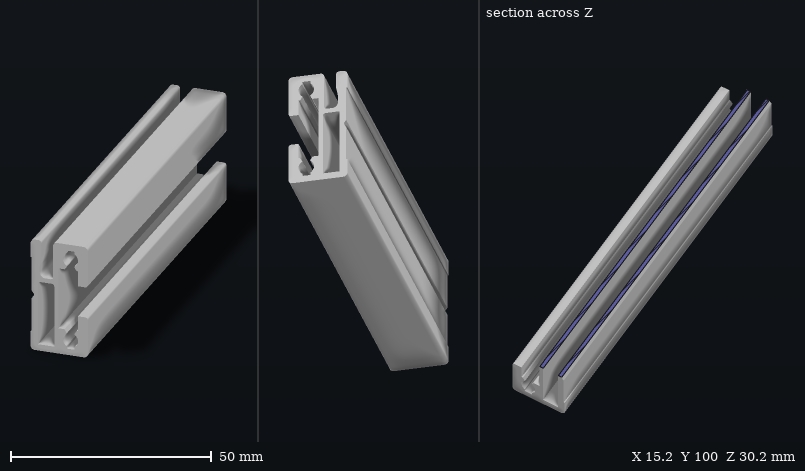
import cadquery as cq

width = 15.2
length = 100.0
height = 30.2
right = width / 2
left = -right
top = height / 2
corner_radius = 1.1

relief_depth = 0.3
relief_half_height = 10.2
groove_depth = 0.6
groove_half_height = 1.0
groove_floor_half_height = 0.2

lip_thickness = 2.9
lip_root_thickness = 2.4
slot_right = -1.6
slot_floor = 4.9
slot_taper_start = 10.5
slot_taper_drop = 2.4
slot_left_radius = 1.5
slot_right_radius = 0.7
slot_lip_radius = 0.8
slot_mouth_radius = 0.9

chamber_left = -5.6
chamber_right = -1.3
chamber_top = 3.7
chamber_bottom = -13.4
chamber_radius = 0.7

channel_left = -0.2
flange_inner = 5.0
channel_half_height = 8.2
mouth_half_height = 4.1
flange_radius = 0.7

port_x = 3.0
port_z = 11.0
port_radius = 2.0
port_end = 13.4
port_end_width = 2.1
neck_half_width = 1.0
neck_end = 9.2
neck_mouth_half_width = 1.6


def prism(sketch):
    """Extrude a closed XZ outline over the full length."""
    return sketch.extrude(length / 2, both=True)


def outline(points):
    return prism(cq.Workplane("XZ").polyline(points).close())


def block(x_min, x_max, z_min, z_max):
    return outline([(x_min, z_min), (x_max, z_min), (x_max, z_max), (x_min, z_max)])


def round_edge(body, x, z, radius):
    """Round the lengthwise edge that passes through (x, z)."""
    return body.edges(cq.selectors.NearestToPointSelector((x, 0, z))).fillet(radius)


def make_relief():
    relief_x = left + relief_depth
    relief = block(left, relief_x, -relief_half_height, relief_half_height)
    groove = outline([
        (relief_x, groove_half_height),
        (relief_x + groove_depth, groove_floor_half_height),
        (relief_x + groove_depth, -groove_floor_half_height),
        (relief_x, -groove_half_height),
    ])
    return relief.union(groove)


def make_slot():
    mouth_left = left + lip_thickness
    floor_left = left + lip_root_thickness
    slot = outline([
        (mouth_left, top),
        (mouth_left, slot_taper_start),
        (floor_left, slot_taper_start - slot_taper_drop),
        (floor_left, slot_floor),
        (slot_right, slot_floor),
        (slot_right, top),
    ])
    slot = round_edge(slot, floor_left, slot_floor, slot_left_radius)
    return round_edge(slot, slot_right, slot_floor, slot_right_radius)


def make_chamber():
    chamber = block(chamber_left, chamber_right, chamber_bottom, chamber_top)
    return round_edge(chamber, chamber_right, chamber_top, chamber_radius)


def make_channel():
    inside = block(channel_left, flange_inner, -channel_half_height, channel_half_height)
    mouth = block(flange_inner, right, -mouth_half_height, mouth_half_height)
    return inside.union(mouth)


def make_upper_port():
    bore = prism(cq.Workplane("XZ").center(port_x, port_z).circle(port_radius))
    end_half = port_end_width / 2
    end_slot = block(port_x - end_half, port_x + end_half, port_z, port_end)
    neck = outline([
        (port_x - neck_half_width, port_z),
        (port_x - neck_half_width, neck_end),
        (port_x - neck_mouth_half_width, channel_half_height),
        (port_x + neck_mouth_half_width, channel_half_height),
        (port_x + neck_half_width, neck_end),
        (port_x + neck_half_width, port_z),
    ])
    return bore.union(end_slot).union(neck)


body = cq.Workplane("XY").box(width, length, height).edges("|Y").fillet(corner_radius)

upper_port = make_upper_port()
lower_port = upper_port.mirror("XY")
for cavity in (make_relief(), make_slot(), make_chamber(), make_channel(), upper_port, lower_port):
    body = body.cut(cavity)

body = round_edge(body, left + lip_thickness, top, slot_lip_radius)
body = round_edge(body, slot_right, top, slot_mouth_radius)

for tip_z in (-mouth_half_height, mouth_half_height):
    body = round_edge(body, right, tip_z, flange_radius)

result = body